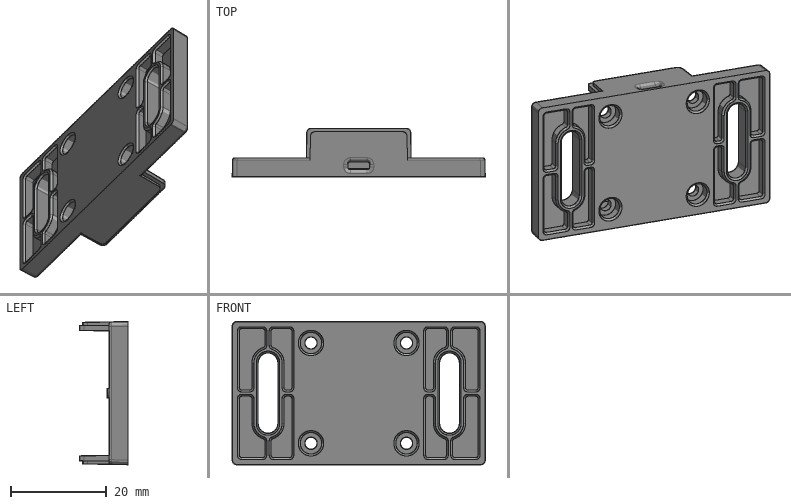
import cadquery as cq
import math

PLATE_LENGTH = 53.0
PLATE_HEIGHT = 30.0
PLATE_THICKNESS = 4.0
PLATE_CORNER_RADIUS = 1.0
BACK_EDGE_RADIUS = 0.5
DRAFT_ANGLE = 1.0

MOUTH_CHAMFER = 0.4
POCKET_DEPTH = 2.3
POCKET_BORDER = 1.5
POCKET_INNER_EDGE = 14.0
POCKET_CORNER_RADIUS = 0.5
RIB_WIDTH = 1.3
SLOT_X = 19.0
SLOT_WIDTH = 4.1
SLOT_CENTRE_SPACING = 12.7

SCREW_X = 10.0
SCREW_Z = 10.5
SCREW_DIAMETER = 2.5
COUNTERBORE_DIAMETER = 4.5
COUNTERBORE_DEPTH = 2.4

FLANGE_CORNER_RADIUS = 1.0
FLANGE_ROOT = PLATE_THICKNESS - BACK_EDGE_RADIUS
OUTER_LAYER_WIDTH = 20.4
OUTER_LAYER_THICKNESS = 0.8
OUTER_LAYER_REACH = 9.5
INNER_LAYER_WIDTH = 22.0
INNER_LAYER_THICKNESS = 1.2
INNER_LAYER_REACH = 10.2
STEP_Z = PLATE_HEIGHT / 2 - OUTER_LAYER_THICKNESS
UNDERSIDE_Z = STEP_Z - INNER_LAYER_THICKNESS

OPENING_LENGTH = 4.6
OPENING_WIDTH = 1.65
OPENING_Y = 2.35
OPENING_DEPTH = 3.0
OPENING_CORNER_RADIUS = 0.6
OPENING_MOUTH_RADIUS = 0.85
RELIEF_FLOOR_Y = 1.8
RELIEF_HEIGHT = 4.0

BOSS_DIAMETER = 2.0
BOSS_HEIGHT = 0.4


def box(x_range, y_range, z_range):
    """Axis-aligned block spanning the given (low, high) ranges."""
    ranges = (x_range, y_range, z_range)
    sizes = [high - low for low, high in ranges]
    return cq.Workplane("XY").box(*sizes, centered=False).translate([low for low, high in ranges])


def front_plane(y):
    """XZ workplane at the given y; negative extrusion goes towards +Y."""
    return cq.Workplane(cq.Plane(origin=(0, y, 0), xDir=(1, 0, 0), normal=(0, -1, 0)))


def draft_inset(distance):
    """Inward shift of a drafted face after running the given distance along Y."""
    return distance * math.tan(math.radians(DRAFT_ANGLE))


def vertical_slot(x, width, depth):
    """Rounded-end slot along Z, from the front face to the given depth."""
    length = SLOT_CENTRE_SPACING + width
    return front_plane(0).center(x, 0).slot2D(length, width, 90).extrude(-depth)


def plate_blank():
    """Plate with drafted sides, largest at the front face, and a rounded back edge."""
    plate = front_plane(0).rect(PLATE_LENGTH, PLATE_HEIGHT).extrude(-PLATE_THICKNESS, taper=DRAFT_ANGLE)
    plate = plate.edges("not #Y").fillet(PLATE_CORNER_RADIUS)
    return plate.faces(">Y").edges().fillet(BACK_EDGE_RADIUS)


def pocket_group(side):
    """Four pockets around one slot, parted by a cross of ribs and a wall around the slot."""
    near, far = sorted((side * POCKET_INNER_EDGE, side * (PLATE_LENGTH / 2 - POCKET_BORDER)))
    top = PLATE_HEIGHT / 2 - POCKET_BORDER
    depth_range = (0, POCKET_DEPTH)
    slot_x = side * SLOT_X
    pockets = box((near, far), depth_range, (-top, top))
    pockets = pockets.cut(vertical_slot(slot_x, SLOT_WIDTH + 2 * RIB_WIDTH, POCKET_DEPTH))
    pockets = pockets.cut(box((near, far), depth_range, (-RIB_WIDTH / 2, RIB_WIDTH / 2)))
    rib_range = (slot_x - RIB_WIDTH / 2, slot_x + RIB_WIDTH / 2)
    pockets = pockets.cut(box(rib_range, depth_range, (-top, top)))
    seam_z = SLOT_CENTRE_SPACING / 2
    corners = [
        edge for edge in pockets.edges("|Y").vals()
        if abs(abs(edge.Center().z) - seam_z) > POCKET_CORNER_RADIUS
    ]
    return pockets.newObject(corners).fillet(POCKET_CORNER_RADIUS)


def flange_layer(width, reach, section):
    """Layer of the top flange with the given (y, z) section, drafted sides and rounded free corners."""
    root_half = width / 2
    tip_half = root_half - draft_inset(reach - FLANGE_ROOT)
    outline = [
        (-root_half, FLANGE_ROOT),
        (root_half, FLANGE_ROOT),
        (tip_half, reach),
        (-tip_half, reach),
    ]
    prism = cq.Workplane("XY").polyline(outline).close().extrude(PLATE_HEIGHT)
    prism = prism.faces(">Y").edges("|Z").fillet(FLANGE_CORNER_RADIUS)
    bar = cq.Workplane("YZ").polyline(section).close().extrude(width / 2, both=True)
    return prism.intersect(bar)


def top_flange():
    """Outer layer flush with the plate's drafted top, inner layer with a drafted underside."""
    outer_section = [
        (FLANGE_ROOT, PLATE_HEIGHT / 2 - draft_inset(FLANGE_ROOT)),
        (OUTER_LAYER_REACH, PLATE_HEIGHT / 2 - draft_inset(OUTER_LAYER_REACH)),
        (OUTER_LAYER_REACH, STEP_Z),
        (FLANGE_ROOT, STEP_Z),
    ]
    inner_section = [
        (FLANGE_ROOT, STEP_Z),
        (INNER_LAYER_REACH, STEP_Z),
        (INNER_LAYER_REACH, UNDERSIDE_Z + draft_inset(INNER_LAYER_REACH - FLANGE_ROOT)),
        (FLANGE_ROOT, UNDERSIDE_Z),
    ]
    outer = flange_layer(OUTER_LAYER_WIDTH, OUTER_LAYER_REACH, outer_section)
    inner = flange_layer(INNER_LAYER_WIDTH, INNER_LAYER_REACH, inner_section)
    return outer.union(inner)


def top_opening(body):
    """Oval opening through the top flange with a rounded mouth, and the relief it leads into."""
    cutter = (
        cq.Workplane("XY", origin=(0, OPENING_Y, PLATE_HEIGHT / 2))
        .rect(OPENING_LENGTH, OPENING_WIDTH)
        .extrude(-OPENING_DEPTH)
        .edges("|Z")
        .fillet(OPENING_CORNER_RADIUS)
    )
    relief = box(
        (-OPENING_LENGTH / 2, OPENING_LENGTH / 2),
        (RELIEF_FLOOR_Y, PLATE_THICKNESS),
        (UNDERSIDE_Z - RELIEF_HEIGHT, UNDERSIDE_Z),
    )
    body = body.cut(cutter).cut(relief)
    top_face = max(body.faces().vals(), key=lambda face: face.Center().z)
    mouth_edges = top_face.innerWires()[0].Edges()
    return body.newObject(mouth_edges).fillet(OPENING_MOUTH_RADIUS)


def back_boss():
    return front_plane(PLATE_THICKNESS).circle(BOSS_DIAMETER / 2).extrude(-BOSS_HEIGHT)


body = plate_blank()
for side in (-1, 1):
    body = body.cut(pocket_group(side))
    body = body.cut(vertical_slot(side * SLOT_X, SLOT_WIDTH, PLATE_THICKNESS))

screw_points = [(x, z) for x in (-SCREW_X, SCREW_X) for z in (-SCREW_Z, SCREW_Z)]
screw_cuts = front_plane(0).pushPoints(screw_points)
body = body.cut(screw_cuts.circle(COUNTERBORE_DIAMETER / 2).extrude(-COUNTERBORE_DEPTH))
screw_cuts = front_plane(0).pushPoints(screw_points)
body = body.cut(screw_cuts.circle(SCREW_DIAMETER / 2).extrude(-PLATE_THICKNESS))

front_face = body.faces("<Y").val()
mouth_edges = [edge for wire in front_face.innerWires() for edge in wire.Edges()]
body = body.newObject(mouth_edges).chamfer(MOUTH_CHAMFER)

flange = top_flange()
body = body.union(flange).union(flange.mirror("XY"))
body = body.union(back_boss())
result = top_opening(body)